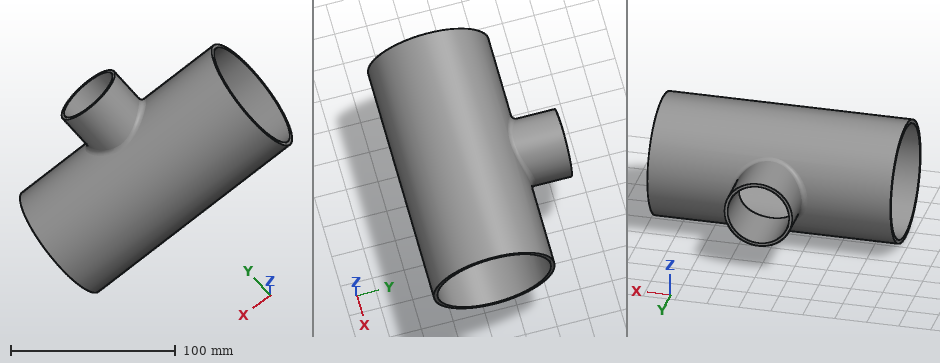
import cadquery as cq

run_length = 152.0
run_outer_diameter = 76.2
run_bore_diameter = 71.5

branch_outer_diameter = 42.4
branch_bore_diameter = 38.5
overall_depth = 102.0
branch_reach = overall_depth - run_outer_diameter / 2

blend_radius = 3.0


def run_cylinder(diameter):
    """Cylinder along X, centred on the origin, as long as the run."""
    return cq.Workplane("YZ").circle(diameter / 2).extrude(run_length / 2, both=True)


def branch_cylinder(diameter):
    """Cylinder along +Y from the run axis to the branch end face."""
    return cq.Workplane("XZ").circle(diameter / 2).extrude(-branch_reach)


def blended_body():
    """Solid tee with a fillet along the curve where the two cylinders meet."""
    body = run_cylinder(run_outer_diameter).union(branch_cylinder(branch_outer_diameter))
    clearance = 1.5
    half_width = branch_outer_diameter / 2 + clearance
    junction = cq.selectors.BoxSelector(
        (-half_width, 0, -half_width),
        (half_width, branch_reach - clearance, half_width),
        boundingbox=True,
    )
    return body.edges(junction).fillet(blend_radius)


result = (
    blended_body()
    .cut(run_cylinder(run_bore_diameter))
    .cut(branch_cylinder(branch_bore_diameter))
)